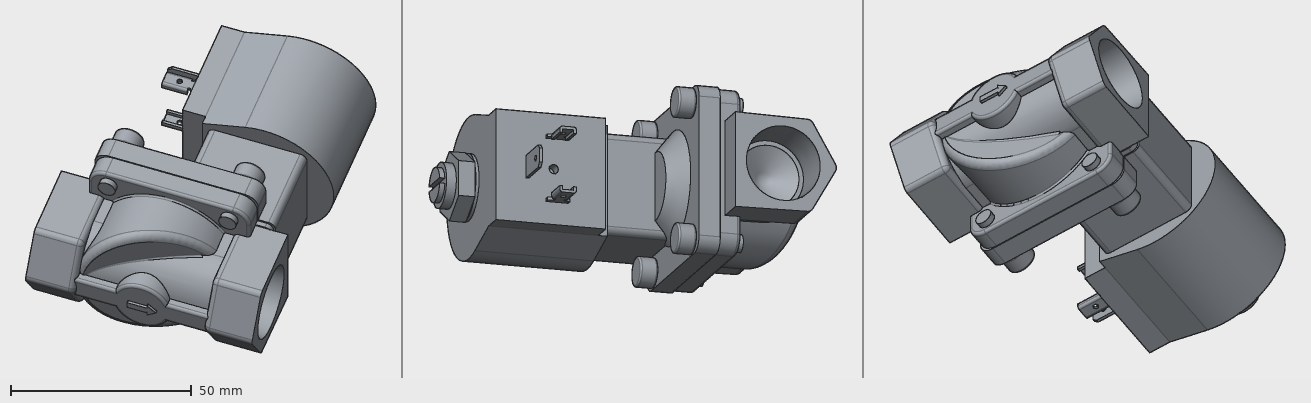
import cadquery as cq
import math


pipe_half_length = 33.3
port_length = 14.3
wall_draft = 1.0
port_across_flats = 27.2
port_top = 13.8
port_corner_radius = 2.0
port_inner_radius = 1.7
thread_mouth_diameter = 21.4
thread_end_diameter = 20.6
thread_depth = 14.1
drill_diameter = 17.9
drill_tip_angle = 118.0

neck_radius = 12.5
neck_axis_y = 1.0
bowl_radius = 20.6
bowl_floor_y = -4.9
bowl_floor_tilt = 19.3
bowl_floor_fillet = 2.3
bowl_root_fillet = 0.5
floor_seam_fillet = 0.6
rib_face_y = -13.6
rib_half_width = 3.5
rib_boss_radius = 8.4
rib_edge_radius = 0.9

arrow_tail_x = -3.8
arrow_neck_x = 2.0
arrow_tip_x = 4.6
arrow_shaft_half = 1.0
arrow_head_half = 2.0
arrow_height = 0.8

cover_size = 48.0
cover_corner_radius = 4.0
cover_top = 21.5
flange_size = 47.4
flange_corner_radius = 5.0
flange_top = 15.3
flange_bottom = 9.3
flange_edge_radius = 0.9
dome_base_radius = 16.2
dome_top_radius = 9.8
dome_top = 26.6

bolt_x = 17.7
bolt_z = 19.5
bolt_head_diameter = 8.6
bolt_head_edge = 0.5
bolt_diameter = 5.0
bolt_end_y = 7.5

stem_size = 29.0
stem_left_x = 0.0
stem_corner_radius = 2.0
stem_foot_inset = 0.5

coil_x = 16.5
coil_radius = 20.4
coil_bottom = 41.0
coil_top = 75.4
coil_flat_x = -1.7
plug_face_x = -8.5
plug_half_width = 15.9
plug_bottom = 43.6
plug_hole_y = 58.6
plug_hole_diameter = 2.6
plug_hole_depth = 4.0

washer_diameter = 18.9
washer_top = 76.3
nut_across_flats = 17.3
nut_top = 81.0
collar_diameter = 12.9
collar_top = 83.8
stud_diameter = 9.9
stud_top = 85.4
slot_width = 1.5

terminal_thickness = 0.8
terminal_width = 6.4
terminal_root = 1.0
blade_y = 66.3
blade_tip_x = -21.0
blade_tip_chamfer = 1.2
terminal_hole_diameter = 1.5
blade_hole_x = -17.3
clip_y = 57.7
clip_z = 9.1
clip_tip_x = -18.8
clip_end_x = -11.4
clip_width = 4.8
clip_leg_height = 1.8
clip_bend_radius = 0.8
clip_neck_width = 2.7
clip_neck_x = -10.7
clip_shoulder_x = -10.1
clip_hole_x = -14.4


def plan_at(y, x=0.0):
    """Workplane across Y at height y, drawn in X and Z; a negative extrude rises along +Y."""
    return cq.Workplane("XZ", origin=(x, y, 0))


def cylinder_y(diameter, bottom, top, x=0.0, z=0.0):
    return plan_at(bottom, x).center(0, z).circle(diameter / 2).extrude(bottom - top)


def draft_offset(height):
    """How far a drafted side wall moves outward over a rise of height."""
    return height * math.tan(math.radians(wall_draft))


def drilled_hole(start_x, y, diameter, depth):
    """Cutter entering along +X at start_x, ending in the conical tip of a drill."""
    radius = diameter / 2
    tip_length = radius / math.tan(math.radians(drill_tip_angle / 2))
    return (
        cq.Workplane("XY", origin=(start_x, y, 0))
        .lineTo(0, radius)
        .lineTo(depth, radius)
        .lineTo(depth + tip_length, 0)
        .close()
        .revolve(360, (0, 0, 0), (1, 0, 0))
    )


def make_inlet_port():
    half = port_across_flats / 2
    side = port_across_flats / math.sqrt(3)
    corner_half = half - draft_offset(port_top + side / 2)
    corner_y = corner_half / math.sqrt(3) - side
    port = (
        cq.Workplane("YZ", origin=(-pipe_half_length, 0, 0))
        .polyline([
            (port_top, -half),
            (corner_y, -corner_half),
            (-side, 0),
            (corner_y, corner_half),
            (port_top, half),
        ])
        .close()
        .extrude(port_length)
    )
    port = port.edges("|X").edges("not(>Y)").fillet(port_corner_radius)
    return port.faces(">X").edges("not(>Y)").fillet(port_inner_radius)


def make_inlet_bore():
    thread = (
        cq.Workplane("YZ", origin=(-pipe_half_length, 0, 0))
        .circle(thread_mouth_diameter / 2)
        .workplane(offset=thread_depth)
        .circle(thread_end_diameter / 2)
        .loft()
    )
    return thread.union(drilled_hole(-pipe_half_length, 0, drill_diameter, thread_depth))


def make_neck():
    length = 2 * (pipe_half_length - port_length + port_inner_radius)
    tube = cq.Workplane("YZ").center(neck_axis_y, 0).circle(neck_radius).extrude(length / 2, both=True)
    top_half = neck_radius + draft_offset(flange_top - neck_axis_y)
    walls = (
        cq.Workplane("YZ")
        .polyline([
            (neck_axis_y, -neck_radius),
            (flange_top, -top_half),
            (flange_top, top_half),
            (neck_axis_y, neck_radius),
        ])
        .close()
        .extrude(length / 2, both=True)
    )
    return tube.union(walls)


def tilted_block(height):
    """Wide block on the sloping bowl floor, rising above it or, if negative, hanging below it."""
    width = 4 * bowl_radius
    return (
        cq.Workplane("XY")
        .box(width, abs(height), width)
        .translate((0, height / 2, 0))
        .rotate((0, 0, 0), (0, 0, 1), bowl_floor_tilt)
        .translate((0, bowl_floor_y, 0))
    )


def make_floor_seam():
    """Rounded seam where the neck emerges from the sloping bowl floor."""
    reach = 2 * bowl_radius
    tube = cq.Workplane("YZ").center(neck_axis_y, 0).circle(neck_radius).extrude(reach, both=True)
    joined = tube.union(tilted_block(bowl_radius))
    seam = cq.selectors.NearestToPointSelector((0, bowl_floor_y, neck_radius))
    joined = joined.edges("%ELLIPSE").edges(seam).fillet(floor_seam_fillet)
    core = cylinder_y(2 * (bowl_radius - bowl_floor_fillet), -reach, neck_axis_y)
    return joined.intersect(core)


def make_bowl_and_flange():
    depth = 2 * bowl_radius
    bowl = cylinder_y(2 * bowl_radius, -depth, flange_top)
    bowl = bowl.cut(tilted_block(-depth)).faces("<Y").edges().fillet(bowl_floor_fillet)
    flange = (
        plan_at(flange_bottom)
        .rect(flange_size, flange_size)
        .extrude(flange_bottom - flange_top)
        .edges("|Y")
        .fillet(flange_corner_radius)
        .faces("<Y")
        .edges()
        .fillet(flange_edge_radius)
    )
    body = bowl.union(flange)
    root_circle = cq.selectors.NearestToPointSelector((0, flange_bottom, 0))
    return body.edges("%CIRCLE").edges(root_circle).fillet(bowl_root_fillet)


def make_rib():
    length = 2 * (pipe_half_length - port_length + port_inner_radius / 2)
    bar = plan_at(rib_face_y).rect(length, 2 * rib_half_width).extrude(rib_face_y)
    boss = cylinder_y(2 * rib_boss_radius, rib_face_y, 0)
    return bar.union(boss).faces("<Y").edges("not(|Z)").fillet(rib_edge_radius)


def make_arrow():
    upper = [
        (arrow_tail_x, arrow_shaft_half),
        (arrow_neck_x, arrow_shaft_half),
        (arrow_neck_x, arrow_head_half),
        (arrow_tip_x, 0),
    ]
    lower = [(x, -z) for x, z in reversed(upper[:-1])]
    return plan_at(rib_face_y).polyline(upper + lower).close().extrude(arrow_height)


def make_cover():
    plate = (
        plan_at(flange_top)
        .rect(cover_size, cover_size)
        .extrude(flange_top - cover_top)
        .edges("|Y")
        .fillet(cover_corner_radius)
    )
    dome = (
        plan_at(cover_top)
        .circle(dome_base_radius)
        .workplane(offset=cover_top - dome_top)
        .circle(dome_top_radius)
        .loft()
    )
    return plate.union(dome)


def make_bolt(x, z):
    head = cylinder_y(bolt_head_diameter, cover_top, dome_top, x, z)
    head = head.faces("|Y").edges().fillet(bolt_head_edge)
    return head.union(cylinder_y(bolt_diameter, bolt_end_y, cover_top, x, z))


def make_stem():
    center_x = stem_left_x + stem_size / 2

    def column(size, bottom, top):
        post = plan_at(bottom, center_x).rect(size, size).extrude(bottom - top)
        return post.edges("|Y").fillet(stem_corner_radius)

    foot = column(stem_size - 2 * stem_foot_inset, port_top, flange_top)
    return column(stem_size, flange_top, coil_bottom).union(foot)


def make_coil():
    corner_dx = coil_flat_x - coil_x
    corner_distance = math.hypot(corner_dx, plug_half_width)
    tangent_angle = math.atan2(plug_half_width, corner_dx) - math.acos(coil_radius / corner_distance)
    tangent_x = coil_x + coil_radius * math.cos(tangent_angle)
    tangent_z = coil_radius * math.sin(tangent_angle)
    coil = (
        plan_at(coil_bottom)
        .moveTo(coil_flat_x, -plug_half_width)
        .lineTo(tangent_x, -tangent_z)
        .threePointArc((coil_x + coil_radius, 0), (tangent_x, tangent_z))
        .lineTo(coil_flat_x, plug_half_width)
        .close()
        .extrude(coil_bottom - coil_top)
    )
    plug = cq.Workplane("XY").box(
        coil_flat_x - plug_face_x, coil_top - plug_bottom, 2 * plug_half_width, centered=(False, False, True)
    ).translate((plug_face_x, plug_bottom, 0))
    hole = drilled_hole(plug_face_x, plug_hole_y, plug_hole_diameter, plug_hole_depth)
    return coil.union(plug).cut(hole)


def make_nut_stack():
    washer = cylinder_y(washer_diameter, coil_top, washer_top, coil_x)
    nut = (
        plan_at(washer_top, coil_x)
        .polygon(6, nut_across_flats, circumscribed=True)
        .extrude(washer_top - nut_top)
    )
    collar = cylinder_y(collar_diameter, nut_top, collar_top, coil_x)
    stud = cylinder_y(stud_diameter, collar_top, stud_top, coil_x)
    slot = plan_at(collar_top, coil_x).rect(2 * stud_diameter, slot_width).extrude(collar_top - stud_top)
    return washer.union(nut).union(collar).union(stud.cut(slot))


def make_earth_blade():
    root_x = plug_face_x + terminal_root
    blade = (
        plan_at(blade_y)
        .center((blade_tip_x + root_x) / 2, 0)
        .rect(root_x - blade_tip_x, terminal_width)
        .extrude(terminal_thickness / 2, both=True)
        .edges("|Y and <X")
        .chamfer(blade_tip_chamfer)
    )
    below = blade_y - terminal_thickness
    above = blade_y + terminal_thickness
    hole = cylinder_y(terminal_hole_diameter, below, above, blade_hole_x)
    return blade.cut(hole)


def make_clip():
    """Terminal on the +Z side: a channel opening toward the middle, on a necked root."""
    outer_z = clip_z + terminal_thickness / 2
    channel = (
        cq.Workplane("XY", origin=(0, 0, outer_z - clip_leg_height))
        .center((clip_tip_x + clip_end_x) / 2, clip_y)
        .rect(clip_end_x - clip_tip_x, clip_width)
        .extrude(clip_leg_height)
        .edges("|X and >Z")
        .fillet(clip_bend_radius)
    )
    hollow = (
        cq.Workplane("XY", origin=(0, 0, outer_z - terminal_thickness))
        .center((clip_tip_x + clip_end_x) / 2, clip_y)
        .rect(clip_end_x - clip_tip_x, clip_width - 2 * terminal_thickness)
        .extrude(-clip_leg_height)
    )
    root_x = plug_face_x + terminal_root
    right = [
        (clip_end_x, clip_neck_width / 2),
        (clip_neck_x, clip_neck_width / 2),
        (clip_shoulder_x, terminal_width / 2),
        (root_x, terminal_width / 2),
    ]
    left = [(x, -y) for x, y in reversed(right)]
    root = (
        cq.Workplane("XY", origin=(0, clip_y, clip_z))
        .polyline(right + left)
        .close()
        .extrude(terminal_thickness / 2, both=True)
    )
    hole = (
        cq.Workplane("XY", origin=(clip_hole_x, clip_y, clip_z))
        .circle(terminal_hole_diameter / 2)
        .extrude(terminal_thickness, both=True)
    )
    return channel.cut(hollow).union(root).cut(hole)


port = make_inlet_port()
bore = make_inlet_bore()
clip = make_clip()

result = make_bowl_and_flange().union(make_neck()).union(make_floor_seam())
result = result.union(make_rib()).union(make_arrow())
result = result.union(port).union(port.mirror("YZ"))
result = result.union(make_cover()).union(make_stem())
for x in (-bolt_x, bolt_x):
    for z in (-bolt_z, bolt_z):
        result = result.union(make_bolt(x, z))
result = result.union(make_coil()).union(make_nut_stack())
result = result.union(make_earth_blade()).union(clip).union(clip.mirror("XY"))
result = result.cut(bore).cut(bore.mirror("YZ"))